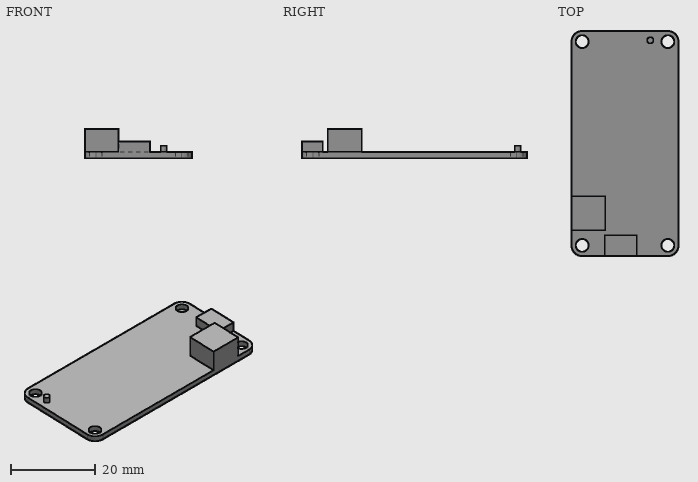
import cadquery as cq

board_width = 25.4
board_length = 53.35
board_thickness = 1.5
corner_radius = 2.55
hole_diameter = 3.0

tall_width = 8.0
tall_length = 8.1
tall_front = 6.15
overall_height = 7.0
tall_height = overall_height - board_thickness

low_left = 7.9
low_width = 7.6
low_length = 5.0
low_height = 2.5

pin_diameter = 1.5
pin_height = 1.5
pin_x = 18.65
pin_back_offset = 2.25


def make_board():
    """Rounded plate with a hole concentric with each corner."""
    plate = (
        cq.Workplane("XY")
        .box(board_width, board_length, board_thickness, centered=False)
        .edges("|Z")
        .fillet(corner_radius)
    )
    hole_centers = [
        (x, y)
        for x in (corner_radius, board_width - corner_radius)
        for y in (corner_radius, board_length - corner_radius)
    ]
    holes = (
        cq.Workplane("XY")
        .pushPoints(hole_centers)
        .circle(hole_diameter / 2)
        .extrude(board_thickness)
    )
    return plate.cut(holes)


def make_block(left, front, width, length, height):
    """Rectangular component standing on the board."""
    return (
        cq.Workplane("XY")
        .box(width, length, height, centered=False)
        .translate((left, front, board_thickness))
    )


def make_pin():
    """Cylinder standing on the board."""
    return (
        cq.Workplane("XY", origin=(pin_x, board_length - pin_back_offset, board_thickness))
        .circle(pin_diameter / 2)
        .extrude(pin_height)
    )


tall_block = make_block(0, tall_front, tall_width, tall_length, tall_height)
low_block = make_block(low_left, 0, low_width, low_length, low_height)

result = make_board().union(tall_block).union(low_block).union(make_pin())